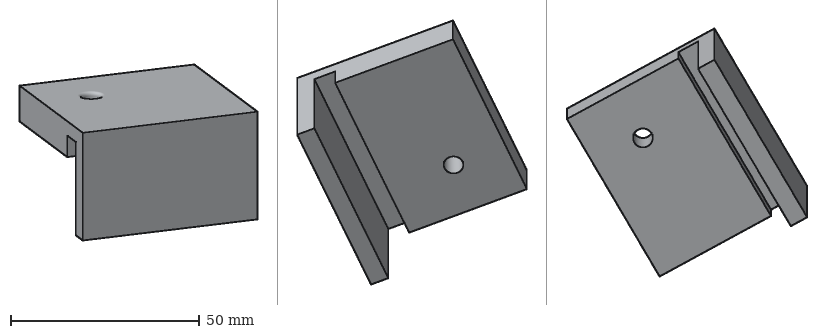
import cadquery as cq

width = 45.0
length = 50.0
height = 30.0

plate_thickness = 10.0
flange_thickness = 5.0
groove_width = 6.0
web_thickness = 4.0

hole_diameter = 5.2
hole_x = 15.0
hole_y = 14.5
hole_edge_radius = 1.0

flange_x = width - flange_thickness
groove_x = flange_x - groove_width
plate_bottom = height - plate_thickness
groove_top = height - web_thickness


def make_body():
    """Angle profile, relieved by a groove in its inner corner, extruded along Y."""
    profile = [
        (0, height),
        (width, height),
        (width, 0),
        (flange_x, 0),
        (flange_x, groove_top),
        (groove_x, groove_top),
        (groove_x, plate_bottom),
        (0, plate_bottom),
    ]
    return cq.Workplane("XZ").polyline(profile).close().extrude(-length)


def make_hole_cutter():
    """Revolved cutter: a straight bore that flares into a rounded top edge."""
    bore_radius = hole_diameter / 2
    mouth_radius = bore_radius + hole_edge_radius
    round_start = height - hole_edge_radius
    return (
        cq.Workplane("XZ")
        .moveTo(0, plate_bottom)
        .lineTo(bore_radius, plate_bottom)
        .lineTo(bore_radius, round_start)
        .radiusArc((mouth_radius, height), hole_edge_radius)
        .lineTo(0, height)
        .close()
        .revolve(360, (0, 0, 0), (0, 1, 0))
        .translate((hole_x, hole_y, 0))
    )


result = make_body().cut(make_hole_cutter())